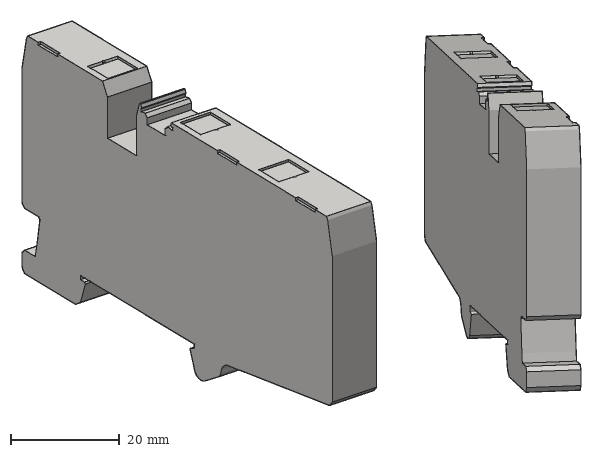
import cadquery as cq

length = 95.5
thickness = 10.2
height = 49.5

corner = 0.9
corner_rise = 1.05
shoulder_z = 41.9
shoulder_lean = 1.4
top_inset = 1.8
top_bevel = 0.7
belly_z = 6.6
right_bottom_z = 11.8

slot_left = 26.4
slot_right = 35.2
slot_floor_z = 38.3
slot_lead_left = 1.5
slot_lead_left_z = 46.8
slot_lead_right = 1.0
slot_lead_right_z = 46.4

channel_left = 38.6
channel_right = 44.1
channel_floor_z = 46.0
ledge_z = 48.1
ledge_bevel = 0.7
ledge_flat = 0.5
undercut_drop = 0.2
left_groove_x = 36.7
right_groove_x = 46.3
left_barb_reach = 0.2
right_barb_reach = 0.6
barb_tip_z = 48.8
barb_set_back = 0.3

foot_top_z = 4.9
notch_top_z = 13.5
notch_depth = 5.5
notch_corner = 0.5
notch_kink_x = 4.5
notch_bottom_x = 4.1
foot_flat_end = 16.5
foot_heel_x = 18.05
foot_hook_x = 19.6
foot_hook_z = 5.7
foot_hook_bevel = 0.3

hook_root_left = 53.0
hook_root_z = 5.9
hook_bevel_x = 52.7
hook_bevel_z = 5.5
hook_tip = (51.7, 5.2)
hook_nose_start = (56.4, 0.4)
hook_nose_bottom = (55.0, 0)
hook_nose_end = (53.3, 0.9)
hook_heel_start = (61.3, 4.4)
hook_heel_middle = (61.0, 3.4)
hook_heel_end = (60.4, 2.8)
hook_throat_start = (62.9, 6.3)
hook_throat_middle = (62.1, 5.7)

window_length = 6.2
window_width = 6.9
window_y = 1.4
window_depth = 0.5
window_wall_lean = 0.2
window_nick_radius = 0.24
window_starts = (18.3, 46.9, 71.0)
windows_outer_on_left = (True, False, False)

marker_length = 5.9
marker_depth = 0.6
marker_width = 0.6
marker_starts = (5.1, 60.2, 84.2)


def body_profile():
    """Closed outline of the block in the XZ plane, clockwise from the left foot."""
    left_barb_x = left_groove_x + left_barb_reach
    right_barb_x = right_groove_x - right_barb_reach
    left_end = [
        (corner, 0),
        (0, corner_rise),
        (0, foot_top_z - corner),
        (corner, foot_top_z),
        (notch_bottom_x, foot_top_z),
        (notch_kink_x, belly_z),
        (notch_depth, notch_top_z - notch_corner),
        (notch_depth - notch_corner, notch_top_z),
        (corner, notch_top_z),
        (0, notch_top_z + corner),
        (0, shoulder_z),
        (shoulder_lean, height - top_bevel),
        (top_inset, height),
    ]
    slot = [
        (slot_left - slot_lead_left, height),
        (slot_left, slot_lead_left_z),
        (slot_left, slot_floor_z),
        (slot_right, slot_floor_z),
        (slot_right, slot_lead_right_z),
        (slot_right + slot_lead_right, height),
    ]
    left_barb = [
        (left_barb_x - barb_set_back, height),
        (left_barb_x, barb_tip_z),
        (left_groove_x, barb_tip_z - barb_set_back),
        (left_groove_x, ledge_z - undercut_drop),
        (channel_left - ledge_bevel - ledge_flat, ledge_z),
        (channel_left - ledge_bevel, ledge_z),
    ]
    channel = [
        (channel_left, ledge_z - ledge_bevel),
        (channel_left, channel_floor_z),
        (channel_right, channel_floor_z),
        (channel_right, ledge_z - ledge_bevel),
    ]
    right_barb = [
        (channel_right + ledge_bevel, ledge_z),
        (channel_right + ledge_bevel + ledge_flat, ledge_z),
        (right_groove_x, ledge_z - undercut_drop),
        (right_groove_x, barb_tip_z - barb_set_back),
        (right_barb_x, barb_tip_z),
        (right_barb_x + barb_set_back, height),
    ]
    right_end = [
        (length - top_inset, height),
        (length - shoulder_lean, height - top_bevel),
        (length, shoulder_z),
        (length, right_bottom_z),
        (length - corner, right_bottom_z - corner_rise),
        hook_throat_start,
    ]
    hook_front = [
        hook_tip,
        (hook_bevel_x, hook_bevel_z),
        (hook_root_left, hook_root_z),
        (hook_root_left, belly_z),
    ]
    left_foot = [
        (foot_heel_x, belly_z),
        (foot_heel_x, foot_hook_z),
        (foot_hook_x - foot_hook_bevel, foot_hook_z),
        (foot_hook_x, foot_hook_z - foot_hook_bevel),
        (foot_heel_x, corner_rise),
        (foot_flat_end, 0),
    ]
    return (
        cq.Workplane("XZ")
        .polyline(left_end + slot + left_barb + channel + right_barb + right_end)
        .threePointArc(hook_throat_middle, hook_heel_start)
        .threePointArc(hook_heel_middle, hook_heel_end)
        .lineTo(*hook_nose_start)
        .threePointArc(hook_nose_bottom, hook_nose_end)
        .polyline(hook_front + left_foot, includeCurrent=True)
        .close()
    )


def window_cutter(start, outer_on_left):
    """Shallow pocket with a leaning outer wall and a small nick in that wall."""
    end = start + window_length
    floor_z = height - window_depth
    lean_left = window_wall_lean if outer_on_left else 0
    lean_right = 0 if outer_on_left else window_wall_lean
    outline = [
        (start, height),
        (end, height),
        (end - lean_right, floor_z),
        (start + lean_left, floor_z),
    ]
    pocket = (
        cq.Workplane("XZ", origin=(0, window_y, 0))
        .polyline(outline)
        .close()
        .extrude(-window_width)
    )
    nick = (
        cq.Workplane("XY", origin=(start if outer_on_left else end, thickness / 2, floor_z))
        .circle(window_nick_radius)
        .extrude(window_depth)
    )
    return pocket.union(nick)


def marker_cutter(start):
    """Small step cut into the front top edge."""
    return cq.Workplane("XY", origin=(start, 0, height - marker_depth)).box(
        marker_length, marker_width, marker_depth, centered=False
    )


result = body_profile().extrude(-thickness)

for window_start, outer_on_left in zip(window_starts, windows_outer_on_left):
    result = result.cut(window_cutter(window_start, outer_on_left))

for marker_start in marker_starts:
    result = result.cut(marker_cutter(marker_start))